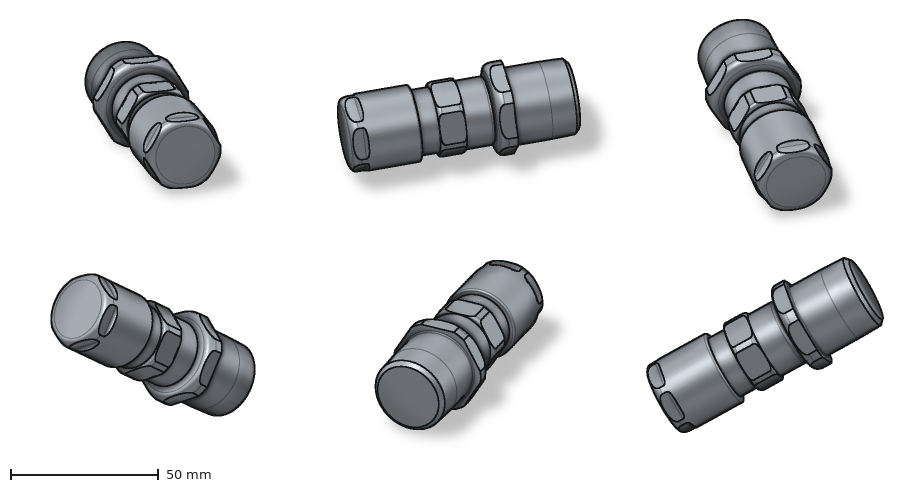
import cadquery as cq
import math


entry_flange_start = 22.7
entry_flange_end = 28.7
body_start = 29.3
body_hex_start = 39.4
body_hex_end = 48.45
nut_start = 55.0
nut_end = 79.05

thread_diameter = 26.65
thread_taper_ratio = 1 / 16
taper_end = 10.0
tip_face_diameter = 23.0
tip_chamfer_length = 1.5
thread_root_fillet = 0.5
flange_across_flats = 30.0
flange_corner_diameter = 32.5
neck_diameter = 19.8
neck_fillet = 0.5

collar_diameter = 23.6
collar_fillet = 1.2
spigot_diameter = 22.6
hex_across_flats = 24.0
hex_corner_diameter = 26.5
hex_edge_fillet = (hex_corner_diameter - collar_diameter) / 2

nut_diameter = hex_corner_diameter
nut_across_flats = hex_across_flats
nut_front_fillet = 0.7
nut_flat_start = 74.6
nut_flat_root_fillet = 1.3

end_fillet = 2.85

HEX_SIDES = 6
FULL_TURN = 360
COS_30 = math.cos(math.radians(30))


def cylinder(start, end, diameter):
    """Round bar on the X axis between two stations."""
    return cq.Workplane("YZ", origin=(start, 0, 0)).circle(diameter / 2).extrude(end - start)


def hexagon(start, end, across_flats):
    """Hexagonal bar on the X axis with its flats facing up and down."""
    profile = cq.Workplane("YZ", origin=(start, 0, 0)).polygon(HEX_SIDES, across_flats / COS_30)
    return profile.extrude(end - start)


def make_thread():
    """Chamfered tip, slight taper and straight run, flared into the flange face."""
    thread_radius = thread_diameter / 2
    tip_radius = thread_radius - (taper_end - tip_chamfer_length) * thread_taper_ratio / 2
    flare_start = entry_flange_start - thread_root_fillet
    flare_radius = thread_radius + thread_root_fillet
    profile = (
        cq.Workplane("XY")
        .lineTo(0, tip_face_diameter / 2)
        .lineTo(tip_chamfer_length, tip_radius)
        .lineTo(taper_end, thread_radius)
        .lineTo(flare_start, thread_radius)
        .radiusArc((entry_flange_start, flare_radius), -thread_root_fillet)
        .lineTo(entry_flange_start, 0)
        .close()
    )
    return profile.revolve(FULL_TURN, (0, 0, 0), (1, 0, 0))


def make_entry():
    blank = cylinder(entry_flange_start, entry_flange_end, flange_corner_diameter)
    blank = blank.faces(">X").edges().fillet(end_fillet)
    flange = blank.intersect(hexagon(entry_flange_start, entry_flange_end, flange_across_flats))

    neck_radius = neck_diameter / 2
    neck = (
        cq.Workplane("XY", origin=(entry_flange_end, 0, 0))
        .lineTo(0, neck_radius + neck_fillet)
        .radiusArc((neck_fillet, neck_radius), -neck_fillet)
        .lineTo(body_start - entry_flange_end, neck_radius)
        .lineTo(body_start - entry_flange_end, 0)
        .close()
        .revolve(FULL_TURN, (0, 0, 0), (1, 0, 0))
    )
    return make_thread().union(flange).union(neck)


def make_middle_body():
    collar = cylinder(body_start, body_hex_start, collar_diameter)
    collar = collar.faces("<X").edges().fillet(collar_fillet)

    blank = cylinder(body_hex_start, body_hex_end, hex_corner_diameter)
    blank = blank.faces("<X or >X").edges().fillet(hex_edge_fillet)
    hex_nut = blank.intersect(hexagon(body_hex_start, body_hex_end, hex_across_flats))

    spigot = cylinder(body_hex_end, nut_start, spigot_diameter)
    return collar.union(hex_nut).union(spigot)


def make_nut_flat_cutter():
    """Block above the upper wrench flat, rounded where the flat runs up into the nut."""
    start = nut_flat_start - nut_flat_root_fillet
    block = cq.Workplane("XY", origin=(start, 0, nut_across_flats / 2)).box(
        nut_end - start, nut_diameter, nut_diameter, centered=(False, True, False)
    )
    return block.edges("<X and <Z").fillet(nut_flat_root_fillet)


def make_gland_nut():
    nut = cylinder(nut_start, nut_end, nut_diameter)
    nut = nut.faces("<X").edges().fillet(nut_front_fillet)
    nut = nut.faces(">X").edges().fillet(end_fillet)
    cutter = make_nut_flat_cutter()
    for side in range(HEX_SIDES):
        nut = nut.cut(cutter.rotate((0, 0, 0), (1, 0, 0), side * FULL_TURN / HEX_SIDES))
    return nut


entry = make_entry()
middle_body = make_middle_body()
gland_nut = make_gland_nut()

result = cq.Compound.makeCompound([entry.val(), middle_body.val(), gland_nut.val()])